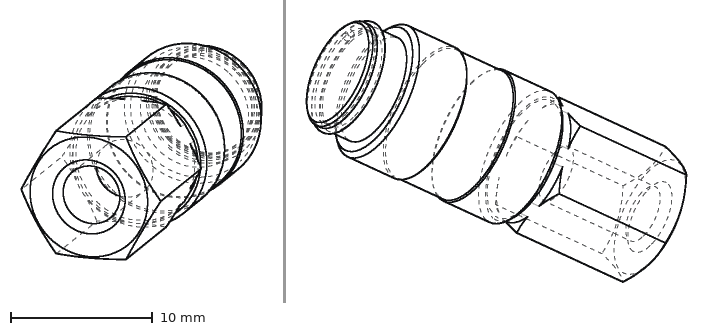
import cadquery as cq
import math

LENGTH = 27.0
FRONT_Y = -LENGTH / 2
REAR_Y = LENGTH / 2

HEX_FLATS = 9.0
HEX_CORNERS = HEX_FLATS / math.cos(math.radians(30))
HEX_LENGTH = 10.05
HEX_FACE_RADIUS = 4.37
HEX_CHAMFER_ANGLE = 30.0

NECK_FLAT_WIDTH = 1.38
NECK_RADIUS = math.hypot(HEX_FLATS / 2, NECK_FLAT_WIDTH / 2)
NECK_LENGTH = 0.8

BORE_RADIUS = 2.1
BORE_MOUTH_RADIUS = 2.7
BORE_DEPTH = 8.1

SLEEVE_RADIUS = 5.1
SLEEVE_LENGTH = 13.01
SLEEVE_CHAMFER = 0.35
WAIST_RADIUS = 5.0
WAIST_LENGTH = 4.0
REAR_BAND_LENGTH = 4.54
WAIST_TAPER = SLEEVE_RADIUS - WAIST_RADIUS

SPIGOT_RADIUS = 4.02
SPIGOT_CHAMFER = 0.22
GROOVE_OFFSET = 0.6

RING_OUTER_RADIUS = 4.3
WIRE_RADIUS = 0.32
WIRE_CENTRE_RADIUS = RING_OUTER_RADIUS - WIRE_RADIUS
RING_GAP = 0.55

GROOVE_WIDTH = 2 * WIRE_RADIUS
GROOVE_RADIUS = RING_OUTER_RADIUS - 2 * WIRE_RADIUS

HEX_REAR_Y = FRONT_Y + HEX_LENGTH
SLEEVE_FRONT_Y = HEX_REAR_Y + NECK_LENGTH
SLEEVE_REAR_Y = SLEEVE_FRONT_Y + SLEEVE_LENGTH
WAIST_REAR_Y = SLEEVE_REAR_Y - REAR_BAND_LENGTH
WAIST_FRONT_Y = WAIST_REAR_Y - WAIST_LENGTH
GROOVE_REAR_Y = REAR_Y - GROOVE_OFFSET
GROOVE_FRONT_Y = GROOVE_REAR_Y - GROOVE_WIDTH
GROOVE_MIDDLE_Y = (GROOVE_REAR_Y + GROOVE_FRONT_Y) / 2


def revolve_about_y(profile):
    """Turn a closed (radius, y) profile about the Y axis."""
    return cq.Workplane("XY").polyline(profile).close().revolve(360, (0, 0, 0), (0, 1, 0))


def make_hex_end():
    """Hexagon with both ends chamfered, plus the neck trimmed by the hexagon flats."""
    length = HEX_LENGTH + NECK_LENGTH
    prism = (
        cq.Workplane("XZ", origin=(0, FRONT_Y, 0))
        .polygon(6, HEX_CORNERS)
        .extrude(-length)
    )
    slope = math.tan(math.radians(HEX_CHAMFER_ANGLE))
    corner_radius = HEX_CORNERS / 2
    envelope = revolve_about_y([
        (0, FRONT_Y),
        (HEX_FACE_RADIUS, FRONT_Y),
        (corner_radius, FRONT_Y + (corner_radius - HEX_FACE_RADIUS) * slope),
        (corner_radius, HEX_REAR_Y - (corner_radius - NECK_RADIUS) * slope),
        (NECK_RADIUS, HEX_REAR_Y),
        (NECK_RADIUS, SLEEVE_FRONT_Y),
        (0, SLEEVE_FRONT_Y),
    ])
    return prism.intersect(envelope)


def make_sleeve_and_spigot():
    """Sleeve with its waist, and the rear spigot with its ring groove."""
    return revolve_about_y([
        (0, SLEEVE_FRONT_Y),
        (SLEEVE_RADIUS - SLEEVE_CHAMFER, SLEEVE_FRONT_Y),
        (SLEEVE_RADIUS, SLEEVE_FRONT_Y + SLEEVE_CHAMFER),
        (SLEEVE_RADIUS, WAIST_FRONT_Y - WAIST_TAPER),
        (WAIST_RADIUS, WAIST_FRONT_Y),
        (WAIST_RADIUS, WAIST_REAR_Y),
        (SLEEVE_RADIUS, WAIST_REAR_Y + WAIST_TAPER),
        (SLEEVE_RADIUS, SLEEVE_REAR_Y - SLEEVE_CHAMFER),
        (SLEEVE_RADIUS - SLEEVE_CHAMFER, SLEEVE_REAR_Y),
        (SPIGOT_RADIUS, SLEEVE_REAR_Y),
        (SPIGOT_RADIUS, GROOVE_FRONT_Y),
        (GROOVE_RADIUS, GROOVE_FRONT_Y),
        (GROOVE_RADIUS, GROOVE_REAR_Y),
        (SPIGOT_RADIUS, GROOVE_REAR_Y),
        (SPIGOT_RADIUS, REAR_Y - SPIGOT_CHAMFER),
        (SPIGOT_RADIUS - SPIGOT_CHAMFER, REAR_Y),
        (0, REAR_Y),
    ])


def make_bore():
    """Blind bore with a 45 degree countersunk mouth."""
    mouth_depth = BORE_MOUTH_RADIUS - BORE_RADIUS
    return revolve_about_y([
        (0, FRONT_Y),
        (BORE_MOUTH_RADIUS, FRONT_Y),
        (BORE_RADIUS, FRONT_Y + mouth_depth),
        (BORE_RADIUS, FRONT_Y + BORE_DEPTH),
        (0, FRONT_Y + BORE_DEPTH),
    ])


def make_housing():
    return make_hex_end().union(make_sleeve_and_spigot()).cut(make_bore())


def make_snap_ring():
    """Ring of round wire, split at the top (+Z)."""
    ring = (
        cq.Workplane("XY", origin=(0, GROOVE_MIDDLE_Y, 0))
        .center(WIRE_CENTRE_RADIUS, 0)
        .circle(WIRE_RADIUS)
        .revolve(360, (-WIRE_CENTRE_RADIUS, 0, 0), (-WIRE_CENTRE_RADIUS, 1, 0))
    )
    split = (
        cq.Workplane("XY", origin=(0, GROOVE_MIDDLE_Y, 0))
        .rect(RING_GAP, 2 * GROOVE_WIDTH)
        .extrude(2 * RING_OUTER_RADIUS)
    )
    return ring.cut(split)


housing = make_housing()
snap_ring = make_snap_ring()

result = cq.Compound.makeCompound([housing.val(), snap_ring.val()])